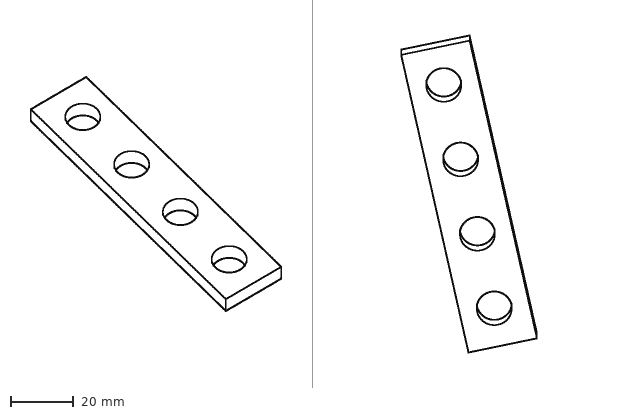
import cadquery as cq

length = 101.6
width = 22.4
thickness = 5.8

hole_count = 4
hole_diameter = width / 2
hole_pitch = length / hole_count

bar = cq.Workplane("XY").box(length, width, thickness)

result = (
    bar.faces(">Z")
    .workplane()
    .rarray(hole_pitch, width, hole_count, 1)
    .hole(hole_diameter)
)